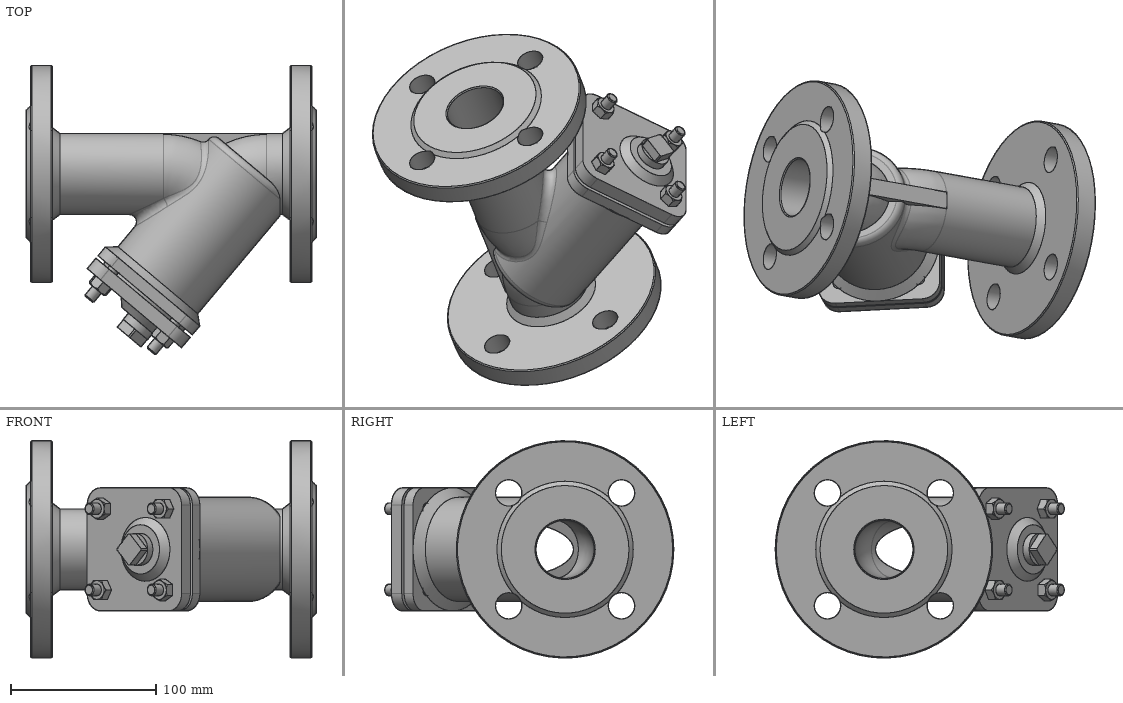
import cadquery as cq
import math


LENGTH = 200.0
PIPE_DIA = 56.0
BORE_DIA = 40.0
BORE_CHAMFER = 0.8
FLANGE_DIA = 150.0
FLANGE_THICK = 15.0
FLANGE_EDGE = 0.8
RAISED_DIA = 88.0
RAISED_HEIGHT = 3.0
HUB_DIA = 64.0
HUB_LENGTH = 5.2
FLANGE_HOLES = 4
FLANGE_HOLE_DIA = 18.0
FLANGE_HOLE_CIRCLE = 110.0

BEND_RADIUS = 40.0
BEND_ANGLE = 36.0
RIGHT_BORE_ANGLE = 35.0
LEFT_BORE_LEG = 40.0
LEFT_BEND_X = -5.5
RIGHT_BEND_X = 65.8
LEG_LENGTH = 24.0
WEB_THICK = 12.0

BRANCH_CROSS_X = 52.2
BRANCH_ANGLE = 50.0
BRANCH_DIA = 72.0
BRANCH_END = -6.5
BRANCH_TRIM_X = 75.0
BRANCH_ROUND = 5.0
JOINT_FILLET = 5.0

PLATE_SIDE = 85.0
PLATE_CORNER = 12.0
TAPER_HEIGHT = 5.5
PLATE_BASE = 95.5
PLATE_TOP = 109.2
NECK_HEIGHT = 2.2
COVER_THICK = 9.5

PLUG_OFFSET = 10.0
BOSS_BASE_DIA = 44.0
BOSS_TOP_DIA = 34.0
BOSS_HEIGHT = 5.2
COLLAR_DIA = 22.0
COLLAR_HEIGHT = 5.5
SQUARE_SIDE = 16.0
SQUARE_CORNER_DIA = 21.5
SQUARE_HEIGHT = 6.8

STUD_COUNT = 4
STUD_PITCH = 56.0
STUD_DIA = 8.0
STUD_TIP_DIA = 6.5
STUD_PROJECTION = 15.5
STUD_DEPTH = 8.0
NUT_ACROSS_FLATS = 13.0
NUT_HEIGHT = 6.8

FLANGE_OUTER_X = LENGTH / 2 - RAISED_HEIGHT
FLANGE_INNER_X = FLANGE_OUTER_X - FLANGE_THICK
COVER_BASE = PLATE_TOP + NECK_HEIGHT
COVER_TOP = COVER_BASE + COVER_THICK
BOSS_TOP = COVER_TOP + BOSS_HEIGHT
COLLAR_TOP = BOSS_TOP + COLLAR_HEIGHT
STUD_ROOT = PLATE_TOP - STUD_DEPTH
STUD_TIP = COVER_TOP + STUD_PROJECTION

slope = math.radians(BRANCH_ANGLE)
BRANCH_PLANE = cq.Plane(
    origin=(BRANCH_CROSS_X, 0, 0),
    xDir=(math.sin(slope), -math.cos(slope), 0),
    normal=(-math.cos(slope), -math.sin(slope), 0),
)


def branch_at(height):
    """Workplane across the branch axis at the given height."""
    return cq.Workplane(BRANCH_PLANE).workplane(offset=height)


def mirrored(shape):
    """Copy of a +X end feature at the -X end."""
    return shape.mirror("YZ")


def end_flange():
    """Flange with hub and raised face at the +X end, centred on the X axis."""
    raised_base = RAISED_DIA / 2 + RAISED_HEIGHT
    hub_tip_x = FLANGE_INNER_X - HUB_LENGTH
    rim_inner = FLANGE_DIA / 2 - FLANGE_EDGE
    flange = (
        cq.Workplane("XY")
        .moveTo(hub_tip_x, 0)
        .lineTo(hub_tip_x, PIPE_DIA / 2)
        .lineTo(FLANGE_INNER_X, HUB_DIA / 2)
        .lineTo(FLANGE_INNER_X, rim_inner)
        .lineTo(FLANGE_INNER_X + FLANGE_EDGE, FLANGE_DIA / 2)
        .lineTo(FLANGE_OUTER_X - FLANGE_EDGE, FLANGE_DIA / 2)
        .lineTo(FLANGE_OUTER_X, rim_inner)
        .lineTo(FLANGE_OUTER_X, raised_base)
        .lineTo(LENGTH / 2, RAISED_DIA / 2)
        .lineTo(LENGTH / 2, 0)
        .close()
        .revolve(360, (0, 0, 0), (1, 0, 0))
    )
    holes = (
        cq.Workplane("YZ", origin=(FLANGE_INNER_X, 0, 0))
        .polarArray(FLANGE_HOLE_CIRCLE / 2, 180 / FLANGE_HOLES, 360, FLANGE_HOLES)
        .circle(FLANGE_HOLE_DIA / 2)
        .extrude(LENGTH / 2 - FLANGE_INNER_X)
    )
    return flange.cut(holes)


def bent_leg(diameter, start_x, bend_x, angle=BEND_ANGLE, straight=LEG_LENGTH):
    """Round bar from start_x straight to bend_x, then bending toward -Y, then straight again."""
    side = math.copysign(1, bend_x - start_x)
    bend = math.radians(angle)

    def bend_point(turn):
        return (bend_x + side * BEND_RADIUS * math.sin(turn), BEND_RADIUS * (math.cos(turn) - 1))

    end_x, end_y = bend_point(bend)
    path = (
        cq.Workplane("XY")
        .moveTo(start_x, 0)
        .lineTo(bend_x, 0)
        .threePointArc(bend_point(bend / 2), (end_x, end_y))
    )
    if straight > 0:
        path = path.lineTo(end_x + side * straight * math.cos(bend), end_y - straight * math.sin(bend))
    return cq.Workplane("YZ", origin=(start_x, 0, 0)).circle(diameter / 2).sweep(path)


def port_chamfer():
    """Cone that breaks the edge of the +X port."""
    return (
        cq.Workplane("YZ", origin=(LENGTH / 2 - BORE_CHAMFER, 0, 0))
        .circle(BORE_DIA / 2)
        .workplane(offset=BORE_CHAMFER)
        .circle(BORE_DIA / 2 + BORE_CHAMFER)
        .loft()
    )


def bridging_web():
    """Flat web that fills the dip between the two bends."""
    span = RIGHT_BEND_X - LEFT_BEND_X
    base = cq.Workplane("XY", origin=(LEFT_BEND_X, 0, 0))
    return base.box(span, PIPE_DIA / 2, WEB_THICK, centered=(False, False, True))


def branch_barrel():
    """Branch cylinder, trimmed flat beside the +X hub and rounded around its closed end."""
    barrel = branch_at(BRANCH_END).circle(BRANCH_DIA / 2).extrude(PLATE_BASE - BRANCH_END)
    beyond_trim = cq.Workplane("XY", origin=(BRANCH_TRIM_X + LENGTH / 2, 0, 0)).box(LENGTH, LENGTH, LENGTH)
    barrel = barrel.cut(beyond_trim)
    end_face = cq.NearestToPointSelector(BRANCH_PLANE.toWorldCoords((0, 0, BRANCH_END)).toTuple())
    return barrel.faces(end_face).edges().fillet(BRANCH_ROUND)


def square_plate(base, top):
    plate = branch_at(base).rect(PLATE_SIDE, PLATE_SIDE).extrude(top - base)
    along_axis = cq.ParallelDirSelector(BRANCH_PLANE.zDir)
    return plate.edges(along_axis).fillet(PLATE_CORNER)


def mouth_plates():
    """Branch flange with a conical taper from the barrel, round neck and cover plate."""
    flange = square_plate(PLATE_BASE + TAPER_HEIGHT, PLATE_TOP)
    taper = (
        branch_at(PLATE_BASE)
        .circle(BRANCH_DIA / 2)
        .workplane(offset=TAPER_HEIGHT)
        .circle(PLATE_SIDE / 2)
        .loft()
    )
    neck = branch_at(PLATE_TOP).circle(BRANCH_DIA / 2).extrude(NECK_HEIGHT)
    return flange.union(taper).union(neck).union(square_plate(COVER_BASE, COVER_TOP))


def drain_plug():
    """Conical boss, round collar and square head, beside the branch axis."""
    boss = (
        branch_at(COVER_TOP)
        .center(PLUG_OFFSET, 0)
        .circle(BOSS_BASE_DIA / 2)
        .workplane(offset=BOSS_HEIGHT)
        .circle(BOSS_TOP_DIA / 2)
        .loft()
    )
    collar = branch_at(BOSS_TOP).center(PLUG_OFFSET, 0).circle(COLLAR_DIA / 2).extrude(COLLAR_HEIGHT)
    head_base = branch_at(COLLAR_TOP).center(PLUG_OFFSET, 0)
    square = head_base.polygon(4, SQUARE_SIDE * math.sqrt(2)).extrude(SQUARE_HEIGHT)
    turned = head_base.circle(SQUARE_CORNER_DIA / 2).extrude(SQUARE_HEIGHT)
    return boss.union(collar).union(square.intersect(turned))


def at_stud(height):
    return branch_at(height).center(STUD_PITCH / 2, STUD_PITCH / 2)


def stud_bar(tip):
    """Plain stud bar from its root inside the branch flange up to the given height."""
    return at_stud(STUD_ROOT).circle(STUD_DIA / 2).extrude(tip - STUD_ROOT)


def around_branch(shape, index):
    """Copy turned about the branch axis to the given stud place."""
    start = BRANCH_PLANE.origin
    return shape.rotate(start.toTuple(), (start + BRANCH_PLANE.zDir).toTuple(), 360 / STUD_COUNT * index)


def fastener():
    """Stud with chamfered tip and hexagon nut seated on the cover."""
    top_face = cq.DirectionMinMaxSelector(BRANCH_PLANE.zDir, True)
    stud = stud_bar(STUD_TIP).faces(top_face).chamfer((STUD_DIA - STUD_TIP_DIA) / 2)
    across_corners = NUT_ACROSS_FLATS / math.cos(math.pi / 6)
    nut = at_stud(COVER_TOP).polygon(6, across_corners).extrude(NUT_HEIGHT)
    bevel_cone = (
        at_stud(COVER_TOP)
        .circle(NUT_ACROSS_FLATS / 2 + NUT_HEIGHT)
        .workplane(offset=NUT_HEIGHT)
        .circle(NUT_ACROSS_FLATS / 2)
        .loft()
    )
    return stud.union(nut.intersect(bevel_cone))


def make_housing():
    """Pipe run, branch, cover and plug as one solid, bored and drilled for the studs."""
    body = branch_barrel().union(bent_leg(PIPE_DIA, -FLANGE_INNER_X, LEFT_BEND_X))
    seam = cq.selectors.BoxSelector(
        (-PIPE_DIA, -PIPE_DIA / 2, -PIPE_DIA / 2), (PIPE_DIA / 2, PIPE_DIA / 2, PIPE_DIA / 2)
    )
    body = body.edges("%BSPLINE").edges(seam).fillet(JOINT_FILLET)
    body = body.union(bent_leg(PIPE_DIA, FLANGE_INNER_X, RIGHT_BEND_X)).union(bridging_web())
    body = body.union(end_flange()).union(mirrored(end_flange()))
    body = body.union(mouth_plates()).union(drain_plug())
    body = body.cut(bent_leg(BORE_DIA, -LENGTH / 2, LEFT_BEND_X, BEND_ANGLE, LEFT_BORE_LEG))
    body = body.cut(bent_leg(BORE_DIA, LENGTH / 2, RIGHT_BEND_X, RIGHT_BORE_ANGLE, 0))
    body = body.cut(port_chamfer()).cut(mirrored(port_chamfer()))
    for index in range(STUD_COUNT):
        body = body.cut(around_branch(stud_bar(COVER_TOP), index))
    return body


housing = make_housing()
fasteners = [around_branch(fastener(), index) for index in range(STUD_COUNT)]

result = cq.Compound.makeCompound([housing.val(), *[item.val() for item in fasteners]])